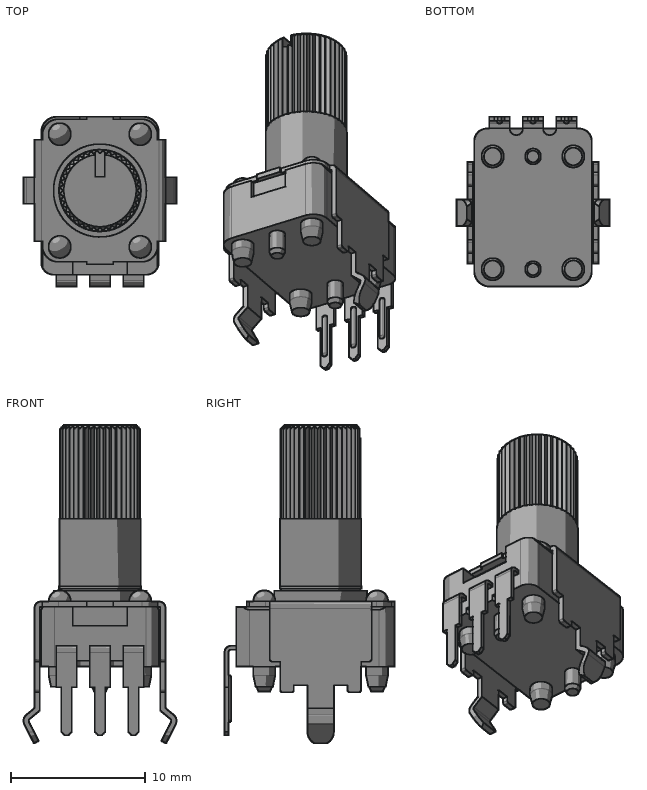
import cadquery as cq
import math


shaft_top = 13.13
shaft_dia = 6.07
ring_dia = 6.11
neck_dia = 5.92
collar_dia = 6.92
collar_top = 0.8
ring_bottom = 0.95
ring_top = 1.11
knurl_bottom = 6.16
knurl_dia = 6.0
knurl_depth = 0.24
knurl_teeth = 40
shaft_chamfer = 0.3
slot_width = 0.7
slot_start = 1.02
slot_depth = 1.0

sheet = 0.4
plate_half_x = 4.3
plate_half_y = 5.3
plate_corner = 1.18
tab_half_x = 1.0
tab_reach = 5.5
wing_outer_x = 4.88
wing_half_y = 3.8
wing_bottom = -4.48
leg_half_y = 3.0
foot_bottom = -6.78
foot_inner_y = 2.0
foot_notch = -6.25
tongue_half_y = 1.0
tongue_knee = -8.03
tongue_elbow = (5.6, -8.8)
tongue_tip = (4.75, -10.48)
tongue_round = 1.0
bend_inner = 0.1
elbow_inner = 0.17
wing_corner = 0.2

body_half_x = 4.38
body_front = -6.28
body_back = 5.5
body_bottom = -4.85
front_corner = 0.97
back_corner = 1.18
side_chamfer_x = 0.12
side_chamfer_z = 0.21
front_recess_half_x = 2.05
front_recess_depth = 1.42
back_recess_half_x = 1.5
back_recess_depth = 0.4
recess_floor = -1.82
arch_dia = 1.0
arch_top = -4.4

dome_dia = 1.65
peg_x = 2.998
peg_y = 4.2
peg_dia = 1.65
peg_taper_top = -5.5
peg_bottom = -6.35
peg_end_dia = 1.3
middle_peg_dia = 1.18
middle_peg_bottom = -6.7
middle_peg_end_dia = 0.88

pin_pitch = 2.5
pin_sheet = 0.3
pin_front = -7.15
pin_top = -3.3
pin_bend_outer = 0.5
pin_wide = 1.55
pin_shoulder = -6.4
pin_narrow = 0.8
pin_bottom = -9.98
pin_tip_width = 0.25
pin_tip_height = 0.28
pin_embed = 0.24
rib_radius = 0.21
rib_top = -5.47
rib_bottom = -9.0


def block(x0, x1, y0, y1, z0, z1):
    """Box between opposite corners."""
    return cq.Workplane("XY").box(x1 - x0, y1 - y0, z1 - z0, centered=False).translate((x0, y0, z0))


def cylinder(diameter, z0, z1):
    """Cylinder on the Z axis."""
    return cq.Workplane("XY").workplane(offset=z0).circle(diameter / 2).extrude(z1 - z0)


def strip_outline(path, thickness):
    """Closed outline of a strip of constant thickness centred on a path, with mitred corners."""
    headings = [math.atan2(b[1] - a[1], b[0] - a[0]) for a, b in zip(path, path[1:])]
    incoming = headings[:1] + headings
    outgoing = headings + headings[-1:]
    left, right = [], []
    for (u, v), before, after in zip(path, incoming, outgoing):
        normal = (before + after + math.pi) / 2
        reach = thickness / 2 / math.cos((after - before) / 2)
        du = reach * math.cos(normal)
        dv = reach * math.sin(normal)
        left.append((u + du, v + dv))
        right.append((u - du, v - dv))
    return left, right


def make_shaft():
    shaft = cylinder(collar_dia, 0, collar_top)
    shaft = shaft.union(cylinder(neck_dia, collar_top, ring_bottom))
    shaft = shaft.union(cylinder(ring_dia, ring_bottom, ring_top))
    shaft = shaft.union(cylinder(shaft_dia, ring_top, knurl_bottom))

    points = []
    for i in range(2 * knurl_teeth):
        radius = knurl_dia / 2 - (knurl_depth if i % 2 == 0 else 0)
        angle = -math.pi / 2 + i * math.pi / knurl_teeth
        points.append((radius * math.cos(angle), radius * math.sin(angle)))
    knurl = cq.Workplane("XY").workplane(offset=knurl_bottom).polyline(points).close()
    knurl = knurl.extrude(shaft_top - knurl_bottom)
    envelope = cylinder(knurl_dia, knurl_bottom, shaft_top).faces(">Z").chamfer(shaft_chamfer)
    shaft = shaft.union(knurl.intersect(envelope))

    slot = block(-slot_width / 2, slot_width / 2, slot_start, knurl_dia, shaft_top - slot_depth, shaft_top)
    return shaft.cut(slot)


def make_wing():
    """Side wing at +X: bent from the plate, ending in a hooked snap tongue."""
    wing_mid_x = wing_outer_x - sheet / 2
    path = [(0, -sheet / 2), (wing_mid_x, -sheet / 2), (wing_mid_x, tongue_knee), tongue_elbow, tongue_tip]
    left, right = strip_outline(path, sheet)
    wing = cq.Workplane("XZ").polyline(left + right[::-1]).close().extrude(wing_half_y, both=True)

    for corner, inner_radius in ((1, bend_inner), (3, elbow_inner)):
        for side, radius in ((left, inner_radius + sheet), (right, inner_radius)):
            x, z = side[corner]
            wing = wing.edges(cq.NearestToPointSelector((x, 0, z))).fillet(radius)

    tip = tongue_tip[1] - sheet / 2
    outline = (
        cq.Workplane("YZ")
        .moveTo(-wing_half_y, 0)
        .lineTo(-wing_half_y, wing_bottom)
        .lineTo(-leg_half_y, wing_bottom)
        .lineTo(-leg_half_y, foot_bottom)
        .lineTo(-foot_inner_y, foot_bottom)
        .lineTo(-foot_inner_y, foot_notch)
        .lineTo(-tongue_half_y, foot_notch)
        .lineTo(-tongue_half_y, tip + tongue_round)
        .threePointArc((0, tip), (tongue_half_y, tip + tongue_round))
        .lineTo(tongue_half_y, foot_notch)
        .lineTo(foot_inner_y, foot_notch)
        .lineTo(foot_inner_y, foot_bottom)
        .lineTo(leg_half_y, foot_bottom)
        .lineTo(leg_half_y, wing_bottom)
        .lineTo(wing_half_y, wing_bottom)
        .lineTo(wing_half_y, 0)
        .close()
        .extrude(tongue_elbow[0] + sheet)
    )
    for y in (wing_half_y, -wing_half_y):
        outline = outline.edges(cq.NearestToPointSelector((tongue_elbow[0] / 2, y, wing_bottom))).fillet(wing_corner)
    for y in (leg_half_y, foot_inner_y, -foot_inner_y, -leg_half_y):
        outline = outline.edges(cq.NearestToPointSelector((tongue_elbow[0] / 2, y, foot_bottom))).fillet(wing_corner)
    return wing.intersect(outline)


def make_bracket():
    plate = block(-plate_half_x, plate_half_x, -plate_half_y, plate_half_y, -sheet, 0)
    plate = plate.edges("|Z").fillet(plate_corner)
    tabs = block(-tab_half_x, tab_half_x, -tab_reach, tab_reach, -sheet, 0)
    wing = make_wing()
    return plate.union(tabs).union(wing).union(wing.mirror("YZ"))


def make_body():
    body = block(-body_half_x, body_half_x, body_front, body_back, body_bottom, -sheet)
    body = body.edges("|Z and <Y").fillet(front_corner)
    body = body.edges("|Z and >Y").fillet(back_corner)

    for side in (1, -1):
        edge = side * body_half_x
        bevel = (
            cq.Workplane("XZ")
            .moveTo(edge, -sheet)
            .lineTo(edge - side * side_chamfer_x, -sheet)
            .lineTo(edge, -sheet - side_chamfer_z)
            .close()
            .extrude(-body_front + body_back, both=True)
        )
        body = body.cut(bevel)

    body = body.cut(block(-front_recess_half_x, front_recess_half_x,
                          body_front, body_front + front_recess_depth, recess_floor, -sheet))
    body = body.cut(block(-back_recess_half_x, back_recess_half_x,
                          body_back - back_recess_depth, body_back, recess_floor, -sheet))

    for x in (-pin_pitch / 2, pin_pitch / 2):
        body = body.cut(cylinder(arch_dia, body_bottom, arch_top).translate((x, body_front, 0)))
    return body


def make_peg(diameter, taper_top, end_diameter, bottom):
    """Peg under the housing with a tapered end."""
    profile = (
        cq.Workplane("XZ")
        .moveTo(0, body_bottom)
        .lineTo(diameter / 2, body_bottom)
        .lineTo(diameter / 2, taper_top)
        .lineTo(end_diameter / 2, bottom)
        .lineTo(0, bottom)
        .close()
    )
    return profile.revolve(360, (0, 0, 0), (0, 1, 0))


def make_dome():
    """Hemispherical rivet head standing on the plate."""
    return cq.Workplane("XY").sphere(dome_dia / 2, angle1=0)


def make_pin():
    """Terminal that leaves the housing front, bends down and narrows to a pointed blade."""
    mid_y = pin_front + pin_sheet / 2
    mid_z = pin_top - pin_sheet / 2
    path = [(body_front + pin_embed, mid_z), (mid_y, mid_z), (mid_y, pin_bottom)]
    left, right = strip_outline(path, pin_sheet)
    strip = cq.Workplane("YZ").polyline(left + right[::-1]).close().extrude(pin_wide / 2, both=True)
    for side, radius in ((right, pin_bend_outer), (left, pin_bend_outer - pin_sheet)):
        y, z = side[1]
        strip = strip.edges(cq.NearestToPointSelector((0, y, z))).fillet(radius)

    wide = pin_wide / 2
    narrow = pin_narrow / 2
    half = [
        (wide, pin_top),
        (wide, pin_shoulder),
        (narrow, pin_shoulder),
        (narrow, pin_bottom + pin_tip_height),
        (pin_tip_width / 2, pin_bottom),
    ]
    mirrored = [(-x, z) for x, z in reversed(half)]
    outline = cq.Workplane("XZ").polyline(half + mirrored).close().extrude(-pin_front)
    pin = strip.intersect(outline)

    rib = cylinder(2 * rib_radius, rib_bottom + rib_radius, rib_top - rib_radius)
    for z in (rib_bottom + rib_radius, rib_top - rib_radius):
        rib = rib.union(cq.Workplane("XY").sphere(rib_radius).translate((0, 0, z)))
    return pin.union(rib.translate((0, pin_front + pin_sheet, 0)))


result = make_body().union(make_bracket()).union(make_shaft())

corner_peg = make_peg(peg_dia, peg_taper_top, peg_end_dia, peg_bottom)
middle_peg = make_peg(middle_peg_dia, peg_bottom, middle_peg_end_dia, middle_peg_bottom)
dome = make_dome()
for y in (-peg_y, peg_y):
    for x in (-peg_x, peg_x):
        result = result.union(dome.translate((x, y, 0)))
        result = result.union(corner_peg.translate((x, y, 0)))
    result = result.union(middle_peg.translate((0, y, 0)))

pin = make_pin()
for column in (-1, 0, 1):
    result = result.union(pin.translate((column * pin_pitch, 0, 0)))